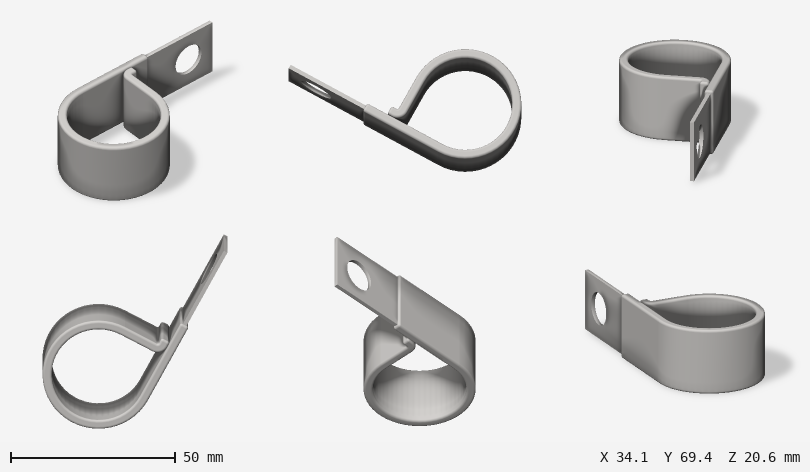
import cadquery as cq
import math

total_length = 69.4
loop_diameter = 34.1
cushion_height = 20.55

cushion_cover = 0.75
band_thickness = 1.25
band_height = cushion_height - 2 * cushion_cover
strap_thickness = band_thickness + 2 * cushion_cover

tab_length = 26.2
hole_diameter = 10.35
hole_from_tab_end = 9.5

hook_gap = 0.1
hook_inner_radius = 0.55
hook_straight = 1.7

outer_radius = loop_diameter / 2
inner_radius = outer_radius - strap_thickness
tab_end_y = total_length - outer_radius
cushion_end_y = tab_end_y - tab_length
band_center_x = -outer_radius + strap_thickness / 2

hook_outer_radius = hook_inner_radius + strap_thickness
hook_left_x = -inner_radius + hook_gap
hook_right_x = hook_left_x + strap_thickness
bend_x = hook_left_x + hook_outer_radius
bend_y = inner_radius + hook_outer_radius
hook_end_y = bend_y + hook_straight


def on_circle(center_x, center_y, radius, degrees):
    angle = math.radians(degrees)
    return (center_x + radius * math.cos(angle), center_y + radius * math.sin(angle))


def end_upright_selector(left_x, right_x, end_y):
    """Select the upright edges of a strap end, whose midpoints lie at Z = 0."""
    margin = cushion_cover / 2
    return cq.selectors.BoxSelector(
        (left_x - margin, end_y - margin, -margin),
        (right_x + margin, end_y + margin, margin),
    )


def make_cushioned_strap():
    """Straight arm, three-quarter loop and hooked end, rounded on every outer edge."""
    strap = (
        cq.Workplane("XY")
        .workplane(offset=-cushion_height / 2)
        .moveTo(-outer_radius, cushion_end_y)
        .lineTo(-outer_radius, 0)
        .threePointArc(on_circle(0, 0, outer_radius, -45), (0, outer_radius))
        .lineTo(bend_x, outer_radius)
        .threePointArc(on_circle(bend_x, bend_y, hook_inner_radius, 225), (hook_right_x, bend_y))
        .lineTo(hook_right_x, hook_end_y)
        .lineTo(hook_left_x, hook_end_y)
        .lineTo(hook_left_x, bend_y)
        .threePointArc(on_circle(bend_x, bend_y, hook_outer_radius, 225), (bend_x, inner_radius))
        .lineTo(0, inner_radius)
        .threePointArc(on_circle(0, 0, inner_radius, -45), (-inner_radius, 0))
        .lineTo(-inner_radius, cushion_end_y)
        .close()
        .extrude(cushion_height)
    )
    arm_end = end_upright_selector(-outer_radius, -inner_radius, cushion_end_y)
    hook_end = end_upright_selector(hook_left_x, hook_right_x, hook_end_y)
    end_uprights = strap.edges(arm_end + hook_end).vals()
    return strap.faces("|Z").edges().add(end_uprights).fillet(cushion_cover)


def make_mounting_tab():
    """Bare end of the band, continuing inside the straight arm, with its bolt hole."""
    tab = (
        cq.Workplane("XY")
        .box(band_thickness, tab_end_y, band_height)
        .translate((band_center_x, tab_end_y / 2, 0))
    )
    bolt_hole = (
        cq.Workplane("YZ")
        .center(tab_end_y - hole_from_tab_end, 0)
        .circle(hole_diameter / 2)
        .extrude(loop_diameter, both=True)
    )
    return tab.cut(bolt_hole)


result = make_cushioned_strap().union(make_mounting_tab())